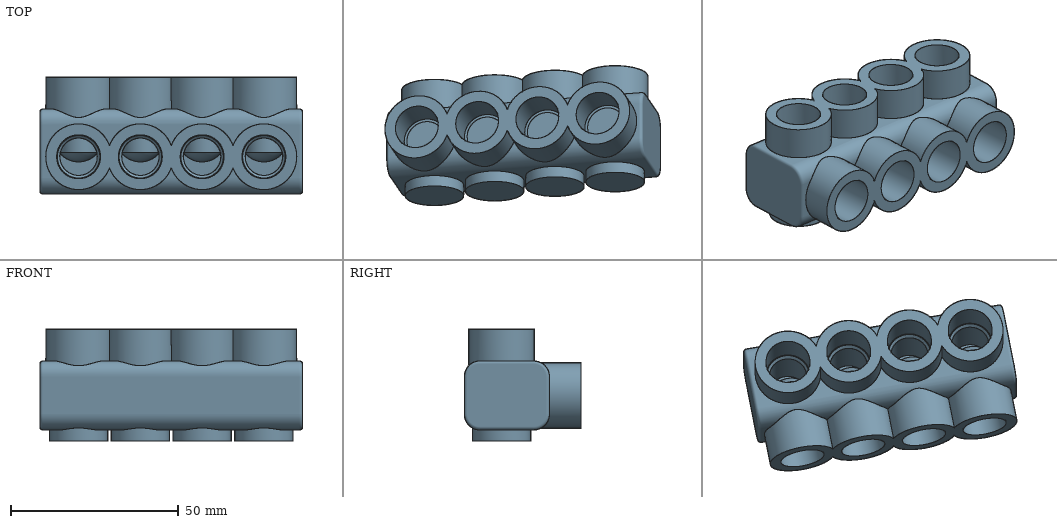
import cadquery as cq


LENGTH = 78.5
DEPTH = 25.4
HEIGHT = 20.65
LONG_EDGE_RADIUS = 4.7
END_EDGE_RADIUS = 0.95
WALL = 2.35

STATION_COUNT = 4
PITCH = 18.45
WIRE_Y = -1.6
PORT_DIAMETER = 19.6
PORT_HEIGHT = 9.5
PORT_BORE_DIAMETER = 13.1
FOOT_DIAMETER = 17.5
FOOT_HEIGHT = 3.3

BAR_LENGTH = LENGTH - 2 * WALL
BAR_DEPTH = DEPTH - 2 * WALL
BAR_HEIGHT = HEIGHT - 2 * WALL
WIRE_HOLE_DIAMETER = 11.15
WIRE_HOLE_CHAMFER = 0.8

SCREW_DIAMETER = 11.5
NOSE_HEIGHT = 2.8
NOSE_REACH = 1.6

STATIONS = [(i - (STATION_COUNT - 1) / 2) * PITCH for i in range(STATION_COUNT)]


def upright_cylinder(x, diameter, z_low, z_high):
    """Vertical cylinder on the wire axis of the station at x."""
    base = cq.Workplane("XY", origin=(x, WIRE_Y, z_low))
    return base.circle(diameter / 2).extrude(z_high - z_low)


def level_cylinder(x, diameter, y_near, y_far):
    """Cylinder along +Y on the screw axis of the station at x."""
    base = cq.Workplane("XZ", origin=(x, y_near, 0))
    return base.circle(diameter / 2).extrude(y_near - y_far)


def make_housing():
    """Rounded block with its ports and feet, hollowed for the bar."""
    block = cq.Workplane("XY").box(LENGTH, DEPTH, HEIGHT)
    block = block.edges("|X").fillet(LONG_EDGE_RADIUS)
    housing = block.faces("<X or >X").edges().fillet(END_EDGE_RADIUS)

    top = HEIGHT / 2 + PORT_HEIGHT
    bottom = -HEIGHT / 2 - FOOT_HEIGHT
    back = DEPTH / 2 + PORT_HEIGHT
    for x in STATIONS:
        housing = housing.union(upright_cylinder(x, PORT_DIAMETER, 0, top))
        housing = housing.union(upright_cylinder(x, FOOT_DIAMETER, bottom, 0))
        housing = housing.union(level_cylinder(x, PORT_DIAMETER, 0, back))

    housing = housing.cut(cq.Workplane("XY").box(BAR_LENGTH, BAR_DEPTH, BAR_HEIGHT))
    for x in STATIONS:
        housing = housing.cut(upright_cylinder(x, PORT_BORE_DIAMETER, 0, top))
        housing = housing.cut(level_cylinder(x, PORT_BORE_DIAMETER, 0, back))
    return housing


def make_bar():
    """Bar with a chamfered wire hole through it and a screw hole at each station."""
    bar = cq.Workplane("XY").box(BAR_LENGTH, BAR_DEPTH, BAR_HEIGHT)
    wire_points = [(x, WIRE_Y) for x in STATIONS]
    top_face = bar.faces(">Z").workplane(origin=(0, 0, 0))
    bar = top_face.pushPoints(wire_points).hole(WIRE_HOLE_DIAMETER)
    bar = bar.faces(">Z").edges("%CIRCLE").chamfer(WIRE_HOLE_CHAMFER)
    for x in STATIONS:
        bar = bar.cut(level_cylinder(x, SCREW_DIAMETER, WIRE_Y, BAR_DEPTH / 2))
    return bar


def make_screw(x):
    """Screw with a domed nose in the wire hole and its back flush with the bar."""
    radius = SCREW_DIAMETER / 2
    tip = WIRE_Y - NOSE_REACH
    shoulder = tip + NOSE_HEIGHT
    back = BAR_DEPTH / 2
    dome_radius = (radius**2 + NOSE_HEIGHT**2) / (2 * NOSE_HEIGHT)
    dome = cq.Workplane("XY", origin=(x, tip + dome_radius, 0)).sphere(dome_radius)
    nose = level_cylinder(x, SCREW_DIAMETER, tip, shoulder).intersect(dome)
    return level_cylinder(x, SCREW_DIAMETER, shoulder, back).union(nose)


housing = make_housing()
bar = make_bar()
screws = [make_screw(x) for x in STATIONS]

result = cq.Compound.makeCompound(
    [housing.val(), bar.val(), *[screw.val() for screw in screws]]
)